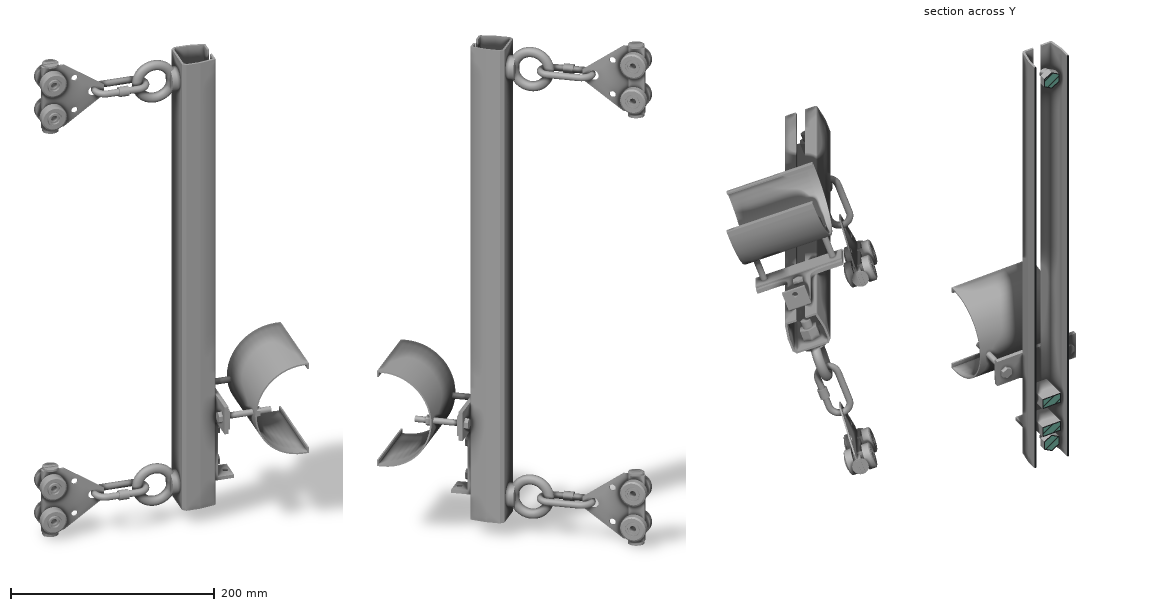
import cadquery as cq
import math


TOTAL_DEPTH = 265.5
TOTAL_HEIGHT = 527.5

POST_LENGTH = 498.0
POST_FRONT = 10.5
POST_BACK = 45.5
POST_WIDTH = 39.5
POST_BACK_WIDTH = 34.0
POST_FRONT_FLAT = 33.0
CORNER_DEPTH = 3.5
TAPER_START = 28.5
POST_WALL = 2.0
SLOT_WIDTH = 9.5
BACK_ROUNDING = 2.0

EYE_HEIGHT = 225.0
EYE_WIRE_D = 10.0
EYE_INNER_D = 26.0
EYE_Y = -12.5
EYE_RADIUS = (EYE_INNER_D + EYE_WIRE_D) / 2
COLLAR_D = 24.5
COLLAR_LENGTH = 8.0
EYE_SHANK_D = 10.0
EYE_SHANK_END = 31.5
EYE_NUT_FLATS = 17.0
EYE_NUT_END = 24.0

BRACKET_THICKNESS = 4.0
BRACKET_BACK = POST_BACK + BRACKET_THICKNESS
CLAMP_WIDTH = 90.0
CLAMP_HEIGHT = -141.0
WING_HEIGHT = 30.0
WING_TOP = CLAMP_HEIGHT + WING_HEIGHT / 2
WING_BOTTOM = CLAMP_HEIGHT - WING_HEIGHT / 2
STEM_WIDTH = 24.0
STEM_BOTTOM = -224.5
WING_FILLET = 9.5
BACKING_THICKNESS = 1.5
BACKING_HEIGHT = 20.5
FOOT_THICKNESS = 3.5
FOOT_BACK = 66.0
FOOT_HOLE_D = 6.0
FOOT_HOLE_Y = 60.5
BRACKET_BOLT_HEIGHTS = (-173.0, -208.0)
BOLT_FLATS = 10.0
BOLT_HEAD = 4.0
BRACKET_SHANK_D = 6.5
CHANNEL_NUT_WIDTH = 20.5
CHANNEL_NUT_HEIGHT = 11.5
CHANNEL_NUT_FRONT = 17.0

SHELL_RADIUS = 50.0
SHELL_WALL = 1.5
SHELL_Y = 127.0
SHELL_BACK = TOTAL_DEPTH / 2
LIP_HEIGHT = 6.5
ROD_D = 6.5
ROD_X = 36.0
ROD_BACK = 96.0
ROD_HEAD = 4.0
ROD_NUT = 6.5

LINK_WIRE_D = 7.0
LINK_RADIUS = 10.5
LINK_STRAIGHT = 31.0
LINK_CLEARANCE = 0.1
LINK_BACK_CENTER = EYE_Y - EYE_INNER_D / 2 + LINK_CLEARANCE + LINK_WIRE_D / 2 - LINK_RADIUS
LINK_FRONT_CENTER = LINK_BACK_CENTER - LINK_STRAIGHT
SLEEVE_D = 10.0
SLEEVE_LENGTH = 10.0

PLATE_THICKNESS = 1.5
PLATE_HEIGHT = 68.5
PLATE_FRONT = -128.5
PLATE_CORNER = -106.5
PLATE_TIP = -65.0
TIP_FLAT = 10.5
LINK_HOLE_D = 10.0
LINK_BITE = 0.3
SMALL_HOLE_D = 6.5
SMALL_HOLE_Y = -95.5
SMALL_HOLE_Z = 18.0
STRIP_THICKNESS = 3.0
STRIP_BACK = -113.0

WHEEL_D = 26.0
WHEEL_FACE_D = 22.5
WHEEL_WIDTH = 8.0
WHEEL_EDGE = 1.0
WHEEL_GAP = 11.0
WHEEL_Y = (WHEEL_D - TOTAL_DEPTH) / 2
WHEEL_Z = 18.5
WHEEL_MIDDLE = -(STRIP_THICKNESS / 2)
SPACER_D = 15.0
RECESS_D = 15.0
RECESS_DEPTH = 1.0
HUB_D = 13.0
HUB_LENGTH = 1.5
HUB_BORE_D = 10.0
AXLE_HOLE_D = 6.5

DISC_D = 16.5
DISC_THICKNESS = 2.0
DISC_NECK_D = 10.0
TAB_STEP = 1.0
TAB_TOP = TOTAL_HEIGHT / 2 - EYE_HEIGHT
DISC_TOP = TAB_TOP - TAB_STEP
STRIP_TAB_TOP = DISC_TOP + TAB_STEP / 2
TAB_FRONT = -127.0


def box(x0, x1, y0, y1, z0, z1):
    """Block between the given limits."""
    return cq.Workplane("XY").box(x1 - x0, y1 - y0, z1 - z0, centered=False).translate((x0, y0, z0))


def rod(start, end, diameter):
    """Round bar between two points."""
    axis = cq.Vector(*end) - cq.Vector(*start)
    return cq.Workplane(cq.Solid.makeCylinder(diameter / 2, axis.Length, cq.Vector(*start), axis))


def hexagon(x, z, y0, y1, flats):
    """Hexagonal nut or bolt head along Y, with corners at top and bottom."""
    corners = flats / math.cos(math.pi / 6)
    profile = cq.Workplane("XY").polygon(6, corners).extrude(y1 - y0)
    return profile.rotate((0, 0, 0), (0, 0, 1), 90).rotate((0, 0, 0), (1, 0, 0), -90).translate((x, y0, z))


def post_section(inset):
    """Solid prism of the post outline, moved inwards by the inset."""
    half_front = POST_FRONT_FLAT / 2 - inset / 2
    half = POST_WIDTH / 2 - inset
    half_back = POST_BACK_WIDTH / 2 - inset
    front = POST_FRONT + inset
    right_side = [
        (half_front, front),
        (half, POST_FRONT + CORNER_DEPTH + inset / 2),
        (half, TAPER_START),
        (half_back, POST_BACK - inset),
    ]
    left_side = [(-x, y) for x, y in reversed(right_side)]
    outline = cq.Workplane("XY").polyline(right_side + left_side).close()
    return outline.extrude(POST_LENGTH).translate((0, 0, -POST_LENGTH / 2))


def make_post():
    """Hollow post with a slot along the middle of its back."""
    half_slot = SLOT_WIDTH / 2
    half_length = POST_LENGTH / 2
    slot = box(-half_slot, half_slot, POST_BACK - POST_WALL, POST_BACK, -half_length, half_length)
    outside = post_section(0).edges("|Z").edges(">Y").fillet(BACK_ROUNDING)
    return outside.cut(post_section(POST_WALL)).cut(slot)


def make_eyebolt(z):
    """Eye and collar in front of the post, with shank and nut inside it."""
    ring = cq.Workplane(
        cq.Solid.makeTorus(EYE_RADIUS, EYE_WIRE_D / 2, cq.Vector(0, EYE_Y, z), cq.Vector(1, 0, 0))
    )
    collar = rod((0, POST_FRONT - COLLAR_LENGTH, z), (0, POST_FRONT, z), COLLAR_D)
    shank = rod((0, POST_FRONT, z), (0, EYE_SHANK_END, z), EYE_SHANK_D)
    nut = hexagon(0, z, POST_FRONT + POST_WALL, EYE_NUT_END, EYE_NUT_FLATS)
    return collar.union(ring).union(shank).union(nut)


def make_bracket():
    """Wings for the clamp rods, a stem along the post and a foot bent backwards at the bottom."""
    half_wing = CLAMP_WIDTH / 2
    half_stem = STEM_WIDTH / 2
    wings = box(-half_wing, half_wing, POST_BACK, BRACKET_BACK, WING_BOTTOM, WING_TOP)
    stem = box(-half_stem, half_stem, POST_BACK, BRACKET_BACK, STEM_BOTTOM, WING_TOP)
    plate = wings.union(stem)
    for side in (-1, 1):
        inner_corner = (side * half_stem, BRACKET_BACK, WING_BOTTOM)
        plate = plate.edges("|Y").edges(cq.NearestToPointSelector(inner_corner)).fillet(WING_FILLET)
    half_backing = BACKING_HEIGHT / 2
    backing = box(
        -half_wing, half_wing,
        BRACKET_BACK, BRACKET_BACK + BACKING_THICKNESS,
        CLAMP_HEIGHT - half_backing, CLAMP_HEIGHT + half_backing,
    )
    foot = box(-half_stem, half_stem, POST_BACK, FOOT_BACK, STEM_BOTTOM, STEM_BOTTOM + FOOT_THICKNESS)
    bracket = foot.union(plate).edges("|X").edges("<Z").edges("<Y").fillet(FOOT_THICKNESS / 2).union(backing)
    hole = rod(
        (0, FOOT_HOLE_Y, STEM_BOTTOM), (0, FOOT_HOLE_Y, STEM_BOTTOM + FOOT_THICKNESS), FOOT_HOLE_D
    )
    return bracket.cut(hole)


def make_bracket_bolt(z):
    """Bolt through the post slot into a square nut inside the post."""
    head = hexagon(0, z, BRACKET_BACK, BRACKET_BACK + BOLT_HEAD, BOLT_FLATS)
    shank = rod((0, CHANNEL_NUT_FRONT, z), (0, BRACKET_BACK, z), BRACKET_SHANK_D)
    nut = box(
        -CHANNEL_NUT_WIDTH / 2, CHANNEL_NUT_WIDTH / 2,
        CHANNEL_NUT_FRONT, POST_BACK - POST_WALL,
        z - CHANNEL_NUT_HEIGHT / 2, z + CHANNEL_NUT_HEIGHT / 2,
    )
    return head.union(shank).union(nut)


def make_shell():
    """Half-round clamp shell with short straight ends and lips turned inwards."""
    inner = SHELL_RADIUS - SHELL_WALL
    lip_end = SHELL_RADIUS - LIP_HEIGHT
    lip_front = SHELL_BACK - SHELL_WALL
    section = (
        cq.Workplane("YZ")
        .moveTo(SHELL_Y, SHELL_RADIUS)
        .threePointArc((SHELL_Y - SHELL_RADIUS, 0), (SHELL_Y, -SHELL_RADIUS))
        .lineTo(SHELL_BACK, -SHELL_RADIUS)
        .lineTo(SHELL_BACK, -lip_end)
        .lineTo(lip_front, -lip_end)
        .lineTo(lip_front, -inner)
        .lineTo(SHELL_Y, -inner)
        .threePointArc((SHELL_Y - inner, 0), (SHELL_Y, inner))
        .lineTo(lip_front, inner)
        .lineTo(lip_front, lip_end)
        .lineTo(SHELL_BACK, lip_end)
        .lineTo(SHELL_BACK, SHELL_RADIUS)
        .close()
    )
    return section.extrude(CLAMP_WIDTH / 2, both=True).translate((0, 0, CLAMP_HEIGHT))


def make_clamp_rod(x):
    """Bolt from the bracket wing through the shell, with a nut on the inside of the shell."""
    z = CLAMP_HEIGHT
    nut_front = SHELL_Y - SHELL_RADIUS + SHELL_WALL / 2
    head = hexagon(x, z, POST_BACK - ROD_HEAD, POST_BACK, BOLT_FLATS)
    bar = rod((x, POST_BACK, z), (x, ROD_BACK, z), ROD_D)
    nut = hexagon(x, z, nut_front, nut_front + ROD_NUT, BOLT_FLATS)
    return head.union(bar).union(nut)


def make_frame():
    """Post with its eyebolts, bracket and pole clamp."""
    frame = make_post().union(make_bracket()).union(make_shell())
    for z in (-EYE_HEIGHT, EYE_HEIGHT):
        frame = frame.union(make_eyebolt(z))
    for z in BRACKET_BOLT_HEIGHTS:
        frame = frame.union(make_bracket_bolt(z))
    for x in (-ROD_X, ROD_X):
        frame = frame.union(make_clamp_rod(x))
    return frame


def make_link():
    """Oval quick link with a threaded sleeve on one side."""
    path = (
        cq.Workplane("XY")
        .moveTo(LINK_RADIUS, LINK_FRONT_CENTER)
        .lineTo(LINK_RADIUS, LINK_BACK_CENTER)
        .threePointArc((0, LINK_BACK_CENTER + LINK_RADIUS), (-LINK_RADIUS, LINK_BACK_CENTER))
        .lineTo(-LINK_RADIUS, LINK_FRONT_CENTER)
        .threePointArc((0, LINK_FRONT_CENTER - LINK_RADIUS), (LINK_RADIUS, LINK_FRONT_CENTER))
        .close()
    )
    start = cq.Workplane("XZ", origin=(LINK_RADIUS, LINK_FRONT_CENTER, 0))
    wire = start.circle(LINK_WIRE_D / 2).sweep(path)
    middle = (LINK_FRONT_CENTER + LINK_BACK_CENTER) / 2
    sleeve = rod(
        (LINK_RADIUS, middle - SLEEVE_LENGTH / 2, 0), (LINK_RADIUS, middle + SLEEVE_LENGTH / 2, 0), SLEEVE_D
    )
    return wire.union(sleeve)


def make_plate():
    """Triangular plate with a stiffening strip along its front edge."""
    half_height = PLATE_HEIGHT / 2
    half_plate = PLATE_THICKNESS / 2
    outline = [
        (PLATE_TIP, TIP_FLAT / 2),
        (PLATE_CORNER, half_height),
        (PLATE_FRONT, half_height),
        (PLATE_FRONT, -half_height),
        (PLATE_CORNER, -half_height),
        (PLATE_TIP, -TIP_FLAT / 2),
    ]
    plate = cq.Workplane("YZ").polyline(outline).close().extrude(half_plate, both=True)
    link_hole_y = LINK_FRONT_CENTER - LINK_RADIUS + LINK_WIRE_D / 2 - LINK_BITE - LINK_HOLE_D / 2
    holes = [(link_hole_y, 0, LINK_HOLE_D)]
    for z in (-SMALL_HOLE_Z, SMALL_HOLE_Z):
        holes.append((SMALL_HOLE_Y, z, SMALL_HOLE_D))
    for y, z, diameter in holes:
        plate = plate.cut(rod((-half_plate, y, z), (half_plate, y, z), diameter))
    strip = box(
        -half_plate - STRIP_THICKNESS, -half_plate, PLATE_FRONT, STRIP_BACK, -half_height, half_height
    )
    return plate.union(strip)


def make_wheel_pair(z):
    """Two wheels on a hollow axle, one on each side of the plate."""
    inner = WHEEL_GAP / 2
    outer = inner + WHEEL_WIDTH
    floor = outer - RECESS_DEPTH
    half_profile = [
        (0, AXLE_HOLE_D / 2),
        (0, SPACER_D / 2),
        (inner, SPACER_D / 2),
        (inner, WHEEL_D / 2),
        (outer - WHEEL_EDGE, WHEEL_D / 2),
        (outer, WHEEL_FACE_D / 2),
        (outer, RECESS_D / 2),
        (floor, RECESS_D / 2),
        (floor, HUB_D / 2),
        (outer, HUB_D / 2),
        (outer, HUB_BORE_D / 2),
        (floor, HUB_BORE_D / 2),
        (floor, AXLE_HOLE_D / 2),
    ]
    right = cq.Workplane("XY").polyline(half_profile).close().revolve(360, (0, 0, 0), (1, 0, 0))
    hub_end = outer + HUB_LENGTH
    hub = rod((outer, 0, 0), (hub_end, 0, 0), HUB_D).cut(rod((outer, 0, 0), (hub_end, 0, 0), HUB_BORE_D))
    pair = right.union(right.mirror("YZ")).union(hub)
    return pair.translate((WHEEL_MIDDLE, WHEEL_Y, z))


def make_end_disc():
    """Disc on a short neck at the top of the plate, with plate and strip tabs showing through it."""
    half_height = PLATE_HEIGHT / 2
    half_plate = PLATE_THICKNESS / 2
    disc_bottom = DISC_TOP - DISC_THICKNESS
    disc = rod((WHEEL_MIDDLE, WHEEL_Y, disc_bottom), (WHEEL_MIDDLE, WHEEL_Y, DISC_TOP), DISC_D)
    neck = rod((WHEEL_MIDDLE, WHEEL_Y, half_height), (WHEEL_MIDDLE, WHEEL_Y, disc_bottom), DISC_NECK_D)
    plate_tab = box(-half_plate, half_plate, TAB_FRONT, STRIP_BACK, disc_bottom, TAB_TOP)
    strip_tab = box(
        -half_plate - STRIP_THICKNESS, -half_plate, TAB_FRONT, STRIP_BACK, disc_bottom, STRIP_TAB_TOP
    )
    return disc.union(neck).union(plate_tab).union(strip_tab)


def make_trolley(z):
    """Wheeled trolley with its quick link, centred at height z."""
    trolley = make_plate().union(make_link())
    disc = make_end_disc()
    trolley = trolley.union(disc).union(disc.mirror("XY"))
    outer = WHEEL_GAP / 2 + WHEEL_WIDTH
    for wheel_z in (-WHEEL_Z, WHEEL_Z):
        bore = rod(
            (WHEEL_MIDDLE - outer, WHEEL_Y, wheel_z), (WHEEL_MIDDLE + outer, WHEEL_Y, wheel_z), AXLE_HOLE_D
        )
        trolley = trolley.union(make_wheel_pair(wheel_z)).cut(bore)
    return trolley.translate((0, 0, z))


frame = make_frame()
trolleys = [make_trolley(z) for z in (-EYE_HEIGHT, EYE_HEIGHT)]

result = cq.Compound.makeCompound([frame.val(), *[trolley.val() for trolley in trolleys]])